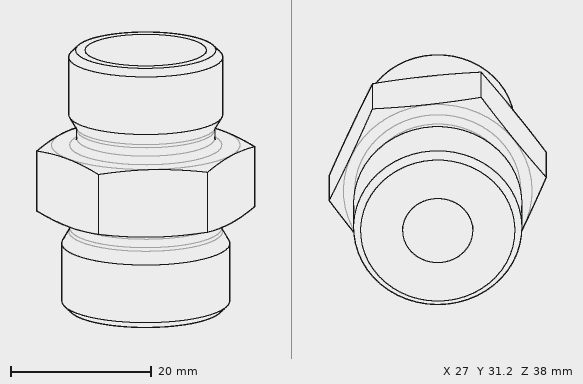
import cadquery as cq
import math

total_length = 38.0
hex_bottom = 14.0
hex_top = 24.0

hex_sides = 6
across_flats = 27.0
face_circle_diameter = 26.9
hex_chamfer_angle = 15.0
corner_clearance = 1.0

lower_thread_diameter = 24.0
lower_groove_diameter = 21.7
upper_thread_diameter = 22.0
upper_groove_diameter = 19.7
undercut_width = 4.5
undercut_flank_angle = 30.0
undercut_fillet = 1.0
end_chamfer = 1.0

bore_diameter = 10.0
tube_diameter = 15.0
seat_mouth_diameter = 17.3
seat_half_angle = 12.0
seat_depth = 7.0


def make_hex_body():
    """Hexagon prism whose corners are cut by a shallow cone at both ends."""
    height = hex_top - hex_bottom
    corner_diameter = across_flats / math.cos(math.pi / hex_sides)
    prism = (
        cq.Workplane("XY")
        .workplane(offset=hex_bottom)
        .polygon(hex_sides, corner_diameter)
        .extrude(height)
        .rotate((0, 0, 0), (0, 0, 1), 180 / hex_sides)
    )
    face_radius = face_circle_diameter / 2
    cone_radius = corner_diameter / 2 + corner_clearance
    cone_drop = (cone_radius - face_radius) * math.tan(math.radians(hex_chamfer_angle))
    envelope = (
        cq.Workplane("XZ")
        .moveTo(0, hex_bottom)
        .lineTo(face_radius, hex_bottom)
        .lineTo(cone_radius, hex_bottom + cone_drop)
        .lineTo(cone_radius, hex_top - cone_drop)
        .lineTo(face_radius, hex_top)
        .lineTo(0, hex_top)
        .close()
        .revolve(360, (0, 0, 0), (0, 1, 0))
    )
    return prism.intersect(envelope)


def make_stub(thread_diameter, groove_diameter, shoulder, end):
    """Threaded stub from the hexagon shoulder to its free end, with an undercut at the shoulder."""
    direction = math.copysign(1, end - shoulder)
    thread_radius = thread_diameter / 2
    groove_radius = groove_diameter / 2

    flank_angle = math.radians(undercut_flank_angle)
    flank_length = (thread_radius - groove_radius) / math.tan(flank_angle)
    thread_start = shoulder + direction * undercut_width
    flank_foot = thread_start - direction * flank_length

    tangent_length = undercut_fillet * math.tan(flank_angle / 2)
    arc_start = flank_foot - direction * tangent_length
    arc_end_radius = groove_radius + tangent_length * math.sin(flank_angle)
    arc_end = flank_foot + direction * tangent_length * math.cos(flank_angle)
    arc_mid_radius = groove_radius + undercut_fillet * (1 - math.cos(flank_angle / 2))
    arc_mid = arc_start + direction * undercut_fillet * math.sin(flank_angle / 2)

    diagonal_gap = undercut_fillet * (1 - math.sqrt(0.5))

    return (
        cq.Workplane("XZ")
        .moveTo(0, shoulder)
        .lineTo(groove_radius + undercut_fillet, shoulder)
        .threePointArc(
            (groove_radius + diagonal_gap, shoulder + direction * diagonal_gap),
            (groove_radius, shoulder + direction * undercut_fillet),
        )
        .lineTo(groove_radius, arc_start)
        .threePointArc((arc_mid_radius, arc_mid), (arc_end_radius, arc_end))
        .lineTo(thread_radius, thread_start)
        .lineTo(thread_radius, end - direction * end_chamfer)
        .lineTo(thread_radius - end_chamfer, end)
        .lineTo(0, end)
        .close()
        .revolve(360, (0, 0, 0), (0, 1, 0))
    )


def make_passage():
    """Through bore opening into a tube socket with a conical mouth at the upper end."""
    bore_radius = bore_diameter / 2
    tube_radius = tube_diameter / 2
    mouth_radius = seat_mouth_diameter / 2
    cone_depth = (mouth_radius - tube_radius) / math.tan(math.radians(seat_half_angle))
    seat_floor = total_length - seat_depth
    return (
        cq.Workplane("XZ")
        .moveTo(0, 0)
        .lineTo(bore_radius, 0)
        .lineTo(bore_radius, seat_floor)
        .lineTo(tube_radius, seat_floor)
        .lineTo(tube_radius, total_length - cone_depth)
        .lineTo(mouth_radius, total_length)
        .lineTo(0, total_length)
        .close()
        .revolve(360, (0, 0, 0), (0, 1, 0))
    )


lower_stub = make_stub(lower_thread_diameter, lower_groove_diameter, hex_bottom, 0.0)
upper_stub = make_stub(upper_thread_diameter, upper_groove_diameter, hex_top, total_length)

result = make_hex_body().union(lower_stub).union(upper_stub).cut(make_passage())